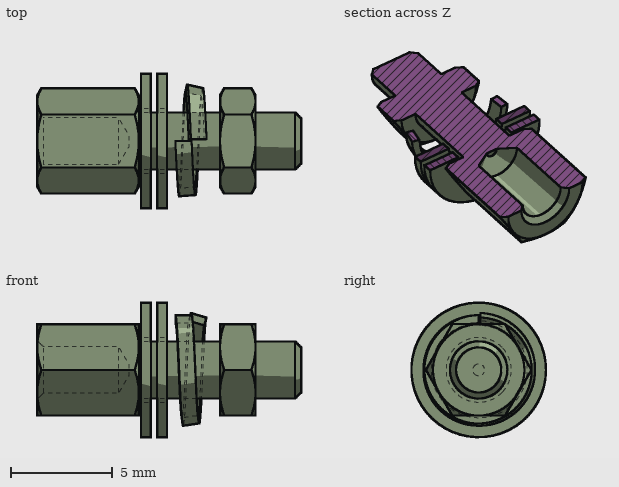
import cadquery as cq
import math

TOTAL_LENGTH = 13.0
HEAD_END = -TOTAL_LENGTH / 2
SHAFT_TIP = TOTAL_LENGTH / 2

ACROSS_FLATS = 4.5
ACROSS_CORNERS = ACROSS_FLATS / math.cos(math.pi / 6)
CORNER_CHAMFER_ANGLE = 30.0
HEAD_LENGTH = 5.0
NUT_LENGTH = 1.75
NUT_START = HEAD_END + 9.0

SHAFT_DIAMETER = 2.82
TIP_CHAMFER = 0.3

BORE_DIAMETER = 2.3
BORE_DEPTH = 4.0
BORE_MOUTH_CHAMFER = 0.3
BORE_FLOOR_DIAMETER = 0.58
DRILL_POINT_ANGLE = 118.0

WASHER_DIAMETER = 6.64
WASHER_HOLE_DIAMETER = 3.2
WASHER_THICKNESS = 0.5
WASHER_GAP = 0.3
FIRST_WASHER_START = HEAD_END + HEAD_LENGTH + 0.1
WASHER_COUNT = 2

SPRING_OUTER_RADIUS = 2.7
SPRING_RADIAL_WIDTH = 0.4
SPRING_THICKNESS = 0.8
SPRING_PITCH = 0.7
SPRING_TURN_ANGLE = 358.0
SPRING_START = HEAD_END + 6.8


def rod(start, length, diameter):
    """Cylinder along +X."""
    return cq.Workplane("YZ").workplane(offset=start).circle(diameter / 2).extrude(length)


def chamfered_hexagon(start, length):
    """Hexagonal prism along +X, corners on +Y and -Y, with both ends coned off down to the flats."""
    flat_radius = ACROSS_FLATS / 2
    corner_radius = ACROSS_CORNERS / 2
    chamfer_length = (corner_radius - flat_radius) * math.tan(math.radians(CORNER_CHAMFER_ANGLE))
    end = start + length
    prism = cq.Workplane("YZ").workplane(offset=start).polygon(6, ACROSS_CORNERS).extrude(length)
    envelope = (
        cq.Workplane("XY")
        .moveTo(start, 0)
        .lineTo(start, flat_radius)
        .lineTo(start + chamfer_length, corner_radius)
        .lineTo(end - chamfer_length, corner_radius)
        .lineTo(end, flat_radius)
        .lineTo(end, 0)
        .close()
        .revolve(360, (0, 0, 0), (1, 0, 0))
    )
    return prism.intersect(envelope)


def head_bore():
    """Blind bore with a chamfered mouth and a drill cone that ends in a small flat."""
    radius = BORE_DIAMETER / 2
    floor_radius = BORE_FLOOR_DIAMETER / 2
    cone_start = HEAD_END + BORE_DEPTH
    cone_length = (radius - floor_radius) / math.tan(math.radians(DRILL_POINT_ANGLE / 2))
    return (
        cq.Workplane("XY")
        .moveTo(HEAD_END, 0)
        .lineTo(HEAD_END, radius + BORE_MOUTH_CHAMFER)
        .lineTo(HEAD_END + BORE_MOUTH_CHAMFER, radius)
        .lineTo(cone_start, radius)
        .lineTo(cone_start + cone_length, floor_radius)
        .lineTo(cone_start + cone_length, 0)
        .close()
        .revolve(360, (0, 0, 0), (1, 0, 0))
    )


def make_bolt_with_nut():
    """Hexagonal head, shaft and nut section as one solid."""
    shaft_start = HEAD_END + HEAD_LENGTH
    shaft = rod(shaft_start, SHAFT_TIP - shaft_start, SHAFT_DIAMETER).faces(">X").chamfer(TIP_CHAMFER)
    head = chamfered_hexagon(HEAD_END, HEAD_LENGTH).cut(head_bore())
    nut = chamfered_hexagon(NUT_START, NUT_LENGTH)
    return head.union(shaft).union(nut)


def make_washer(start):
    hole = rod(start, WASHER_THICKNESS, WASHER_HOLE_DIAMETER)
    return rod(start, WASHER_THICKNESS, WASHER_DIAMETER).cut(hole)


def make_spring_washer():
    """Almost one right-hand helical turn, split at +Z; the section twists slightly along the turn."""
    middle_radius = SPRING_OUTER_RADIUS - SPRING_RADIAL_WIDTH / 2
    path_start = SPRING_START + SPRING_THICKNESS / 2
    axial_travel = SPRING_PITCH * SPRING_TURN_ANGLE / 360
    helix = cq.Wire.makeHelix(SPRING_PITCH, axial_travel, middle_radius)
    turn = (
        cq.Workplane("XZ")
        .center(middle_radius, 0)
        .rect(SPRING_RADIAL_WIDTH, SPRING_THICKNESS)
        .sweep(cq.Workplane(obj=helix))
    )
    return (
        turn.rotate((0, 0, 0), (0, 1, 0), 90)
        .rotate((0, 0, 0), (1, 0, 0), 180)
        .translate((path_start, 0, 0))
    )


bolt_with_nut = make_bolt_with_nut()
washers = [
    make_washer(FIRST_WASHER_START + index * (WASHER_THICKNESS + WASHER_GAP))
    for index in range(WASHER_COUNT)
]
spring_washer = make_spring_washer()

result = cq.Compound.makeCompound(
    [bolt_with_nut.val(), *[washer.val() for washer in washers], spring_washer.val()]
)